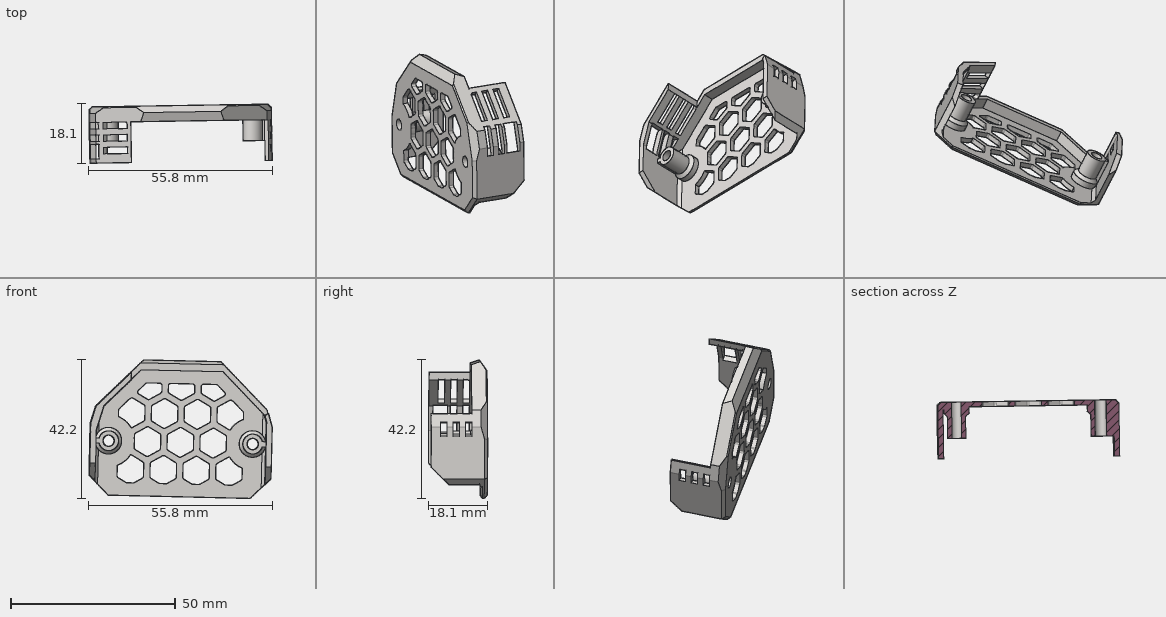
import cadquery as cq
import math


TILT_ABOUT_Y = 1.33
TURN_ABOUT_Z = 0.9

WIDTH = 55.25
HALF_WIDTH = WIDTH / 2
TOP_Z = 20.9
BOTTOM_Z = -20.55
BOTTOM_CORNER = 6.05
FACET_LOW_Z = 1.3
FACET_HIGH_Z = 6.55
FACET_HIGH_X = 26.1

PLATE_DEPTH = 1.55
RIM_DEPTH = 4.8
WALL_DEPTH = 17.2

SIDE_WALL = 1.75
SLANT_WALL = 1.7
TOP_WALL = 3.05
LEFT_FACET_WALL = 2.3
RIGHT_FACET_WALL = 1.25

SIDE_CHAMFER = 1.0
FACET_CHAMFER = 2.0
SLANT_CHAMFER = 0.4
TOP_CHAMFER_HEIGHT = 2.8
TOP_CHAMFER_DEPTH = 2.0
TOP_DRAFT = 0.95
INNER_CHAMFER = 1.0

LEFT_WALL_END_X = -15.6
RIGHT_WALL_END = 4.3
RIGHT_WALL_END_ANGLE = 30.0
WALL_TIP_Z = -10.9

HEX_PITCH = 10.0
HEX_FLATS = 8.0
HEX_ROUND = 0.65
HEX_MARGIN = 3.95
BOSS_CLEARANCE = 8.0

BOSS_SPACING = 43.85
BOSS_X = BOSS_SPACING / 2
BOSS_Z = -3.95
BOSS_BASE_D = 8.1
BOSS_D = 6.05
BOSS_HOLE_D = 3.4
BOSS_BASE_DEPTH = 3.45
BOSS_DEPTH = 11.1
WEB_WIDTH = 1.55

SLOT_WIDTH = 1.95
SLOT_PITCH = 3.8
FIRST_SLOT_DEPTH = RIM_DEPTH
WIDE_SLOT_DEPTH = 11.45
WIDE_SLOT_WIDTH = 4.4
SLANT_SLOT_START = 3.1
SLANT_SLOT_LENGTH = 10.05
SLOT_ROUND = 0.85
FACET_SLOT_START = -2.55
LEFT_FACET_SLOT_LENGTH = 9.0
RIGHT_FACET_SLOT_LENGTH = 4.25

SLOT_REACH = 4.45
CLEAR = 16.75
OVERCUT = 0.55

SLANT_SUM = FACET_HIGH_X + FACET_HIGH_Z
INNER_SLANT_SUM = SLANT_SUM - SLANT_WALL * math.sqrt(2)

INNER_X = HALF_WIDTH - SIDE_WALL
INNER_TOP_Z = TOP_Z - TOP_WALL

FACET_RUN = HALF_WIDTH - FACET_HIGH_X
FACET_ANGLE = math.atan2(FACET_RUN, FACET_HIGH_Z - FACET_LOW_Z)
FACET_SLOPE = math.tan(FACET_ANGLE)


def prism(points, start, end):
    """Outline in x and z, filled between two depths."""
    return cq.Workplane("XZ").workplane(offset=start).polyline(points).close().extrude(end - start)


def cylinder(x, z, diameter, start, end):
    return cq.Workplane("XZ", origin=(x, -start, z)).circle(diameter / 2).extrude(end - start)


right_side = [
    (HALF_WIDTH - BOTTOM_CORNER, BOTTOM_Z),
    (HALF_WIDTH, BOTTOM_Z + BOTTOM_CORNER),
    (HALF_WIDTH, FACET_LOW_Z),
    (FACET_HIGH_X, FACET_HIGH_Z),
    (SLANT_SUM - TOP_Z, TOP_Z),
]
outline = right_side + [(-x, z) for x, z in reversed(right_side)]


def edge_cutter(start, end, width, depth):
    """Wedge that bevels the back edge lying over one side of the outline."""
    length = math.dist(start, end)
    along_x = (end[0] - start[0]) / length
    along_z = (end[1] - start[1]) / length
    plane = cq.Plane(
        origin=(start[0] - CLEAR * along_x, 0, start[1] - CLEAR * along_z),
        xDir=(along_z, 0, -along_x),
        normal=(along_x, 0, along_z),
    )
    extra = OVERCUT * depth / width
    profile = [(-width - OVERCUT, extra), (OVERCUT, extra), (OVERCUT, -depth - extra)]
    return cq.Workplane(plane).polyline(profile).close().extrude(length + 2 * CLEAR)


def bevelled_block():
    """Solid block inside the outer outline, with its back edges bevelled and its top drafted."""
    block = prism(outline, 0, WALL_DEPTH)
    side_bevels = [SIDE_CHAMFER, SIDE_CHAMFER, FACET_CHAMFER, SLANT_CHAMFER]
    for i, size in enumerate(side_bevels):
        block = block.cut(edge_cutter(outline[i], outline[i + 1], size, size))
        block = block.cut(edge_cutter(outline[-2 - i], outline[-1 - i], size, size))
    top_right = len(right_side) - 1
    top_edge = outline[top_right : top_right + 2]
    block = block.cut(edge_cutter(*top_edge, TOP_CHAMFER_HEIGHT, TOP_CHAMFER_DEPTH))
    block = block.cut(edge_cutter(outline[-1], outline[0], SIDE_CHAMFER, SIDE_CHAMFER))

    draft = [
        (-TOP_CHAMFER_DEPTH, TOP_Z),
        (-RIM_DEPTH, TOP_Z - TOP_DRAFT),
        (-RIM_DEPTH, TOP_Z + OVERCUT),
        (-TOP_CHAMFER_DEPTH, TOP_Z + OVERCUT),
    ]
    return block.cut(cq.Workplane("YZ").polyline(draft).close().extrude(HALF_WIDTH, both=True))


def inner_side(facet_wall):
    """Inside corners of one wall, from the bottom up, as positive x and z."""
    facet_x = HALF_WIDTH - facet_wall / math.cos(FACET_ANGLE)
    low_z = FACET_LOW_Z + (facet_x - INNER_X) / FACET_SLOPE
    high_z = (INNER_SLANT_SUM - facet_x - FACET_SLOPE * FACET_LOW_Z) / (1 - FACET_SLOPE)
    return [
        (INNER_X, BOTTOM_Z),
        (INNER_X, low_z),
        (INNER_SLANT_SUM - high_z, high_z),
        (INNER_SLANT_SUM - INNER_TOP_Z, INNER_TOP_Z),
    ]


def pocket():
    """Space in front of the plate, with the plate-to-wall corners left bevelled."""
    left = [(-x, z) for x, z in reversed(inner_side(LEFT_FACET_WALL))]
    space = prism(inner_side(RIGHT_FACET_WALL) + left, PLATE_DEPTH, WALL_DEPTH)

    left_rim_corner = [
        (-INNER_X, BOTTOM_Z),
        (-INNER_X, INNER_SLANT_SUM - INNER_X),
        (INNER_TOP_Z - INNER_SLANT_SUM, INNER_TOP_Z),
    ]
    space = space.union(prism(left_rim_corner, PLATE_DEPTH, RIM_DEPTH))

    for side in (-1, 1):
        corner = [
            (side * INNER_X, -PLATE_DEPTH),
            (side * (INNER_X - INNER_CHAMFER), -PLATE_DEPTH),
            (side * INNER_X, -PLATE_DEPTH - INNER_CHAMFER),
        ]
        bevel = cq.Workplane("XY", origin=(0, 0, BOTTOM_Z)).polyline(corner).close()
        space = space.cut(bevel.extrude(TOP_Z - BOTTOM_Z))
    return space


def rim_clearance():
    """Space in front of the rim, between the upper ends of the two side walls."""
    end_x = HALF_WIDTH - RIGHT_WALL_END * math.sin(FACET_ANGLE)
    end_z = FACET_LOW_Z + RIGHT_WALL_END * math.cos(FACET_ANGLE)
    reach_x = CLEAR * math.cos(math.radians(RIGHT_WALL_END_ANGLE))
    reach_z = CLEAR * math.sin(math.radians(RIGHT_WALL_END_ANGLE))
    region = [
        (LEFT_WALL_END_X, end_z - reach_z),
        (end_x - reach_x, end_z - reach_z),
        (end_x + reach_x, end_z + reach_z),
        (end_x + reach_x, TOP_Z + CLEAR),
        (LEFT_WALL_END_X, TOP_Z + CLEAR),
    ]
    return prism(region, RIM_DEPTH, WALL_DEPTH)


def wall_tip_cut():
    """45 degree cut across the lower front corners of both side walls."""
    drop = WALL_TIP_Z - BOTTOM_Z
    corner = [(-WALL_DEPTH, WALL_TIP_Z), (-WALL_DEPTH, BOTTOM_Z), (drop - WALL_DEPTH, BOTTOM_Z)]
    return cq.Workplane("YZ").polyline(corner).close().extrude(HALF_WIDTH, both=True)


def honeycomb():
    """Rounded hexagons, trimmed to stay inside a margin and clear of the bosses."""
    margin_sum = INNER_SLANT_SUM - HEX_MARGIN * math.sqrt(2)
    top = INNER_TOP_Z - HEX_MARGIN
    bottom = BOTTOM_Z + HEX_MARGIN
    half_trim = [(HALF_WIDTH, bottom), (HALF_WIDTH, margin_sum - HALF_WIDTH), (margin_sum - top, top)]
    trim = prism(half_trim + [(-x, z) for x, z in reversed(half_trim)], 0, PLATE_DEPTH)

    row_pitch = HEX_PITCH * math.sqrt(3) / 2
    corner_radius = HEX_FLATS / math.sqrt(3)
    hexagon = [
        (corner_radius * math.sin(math.radians(60 * i)), corner_radius * math.cos(math.radians(60 * i)))
        for i in range(6)
    ]
    cells = None
    for row, count in ((-1, 4), (0, 3), (1, 4), (2, 3)):
        z = BOSS_Z + row * row_pitch
        for i in range(count):
            x = (i - (count - 1) / 2) * HEX_PITCH
            cell = prism([(x + dx, z + dz) for dx, dz in hexagon], 0, PLATE_DEPTH)
            cell = cell.intersect(trim).edges("|Y").fillet(HEX_ROUND)
            cells = cell if cells is None else cells.add(cell)
    cells = cells.combine()
    for side in (-1, 1):
        cells = cells.cut(cylinder(side * BOSS_X, BOSS_Z, 2 * BOSS_CLEARANCE, 0, PLATE_DEPTH))
    return cells


def boss(side):
    """Screw boss with a coned base, tied to its side wall by a web."""
    x = side * BOSS_X
    root = PLATE_DEPTH / 2
    cone_height = (BOSS_BASE_D - BOSS_D) / 2
    cone = cq.Solid.makeCone(
        BOSS_BASE_D / 2,
        BOSS_D / 2,
        cone_height,
        pnt=cq.Vector(x, -BOSS_BASE_DEPTH, BOSS_Z),
        dir=cq.Vector(0, -1, 0),
    )
    web_end = side * (INNER_X + SIDE_WALL / 2)
    low_z = BOSS_Z - WEB_WIDTH / 2
    high_z = BOSS_Z + WEB_WIDTH / 2
    web = prism([(x, low_z), (web_end, low_z), (web_end, high_z), (x, high_z)], root, BOSS_DEPTH)
    base = cylinder(x, BOSS_Z, BOSS_BASE_D, root, BOSS_BASE_DEPTH)
    post = cylinder(x, BOSS_Z, BOSS_D, root, BOSS_DEPTH)
    return base.union(post).union(cq.Workplane(cone)).union(web)


def slot(corner, direction, start, length, depth, width=SLOT_WIDTH, corner_round=0):
    """Slot cut square through a wall whose outer line starts at `corner` and runs in `direction`.

    A `corner_round` rounds the corner at the far end on the side of the back face.
    """
    plane = cq.Plane(
        origin=(corner[0], 0, corner[1]),
        xDir=(direction[0], 0, direction[1]),
        normal=(direction[1], 0, -direction[0]),
    )
    middle = (start + length / 2, depth + width / 2)
    cut = cq.Workplane(plane).center(*middle).rect(length, width).extrude(SLOT_REACH, both=True)
    if corner_round:
        rear_end = plane.toWorldCoords((start + length, depth, 0)).toTuple()
        cut = cut.edges(cq.selectors.NearestToPointSelector(rear_end)).fillet(corner_round)
    return cut


def vents():
    """Three slots in the left slant and three in each facet; the left facet's front one is wide."""
    sine = math.sin(FACET_ANGLE)
    cosine = math.cos(FACET_ANGLE)
    slant_corner = (-FACET_HIGH_X, FACET_HIGH_Z)
    slant_up = (math.sqrt(0.5), math.sqrt(0.5))
    left_slant = (slant_corner, slant_up, SLANT_SLOT_START, SLANT_SLOT_LENGTH)
    left_facet = ((-HALF_WIDTH, FACET_LOW_Z), (sine, cosine), FACET_SLOT_START, LEFT_FACET_SLOT_LENGTH)
    right_facet = ((HALF_WIDTH, FACET_LOW_Z), (-sine, cosine), FACET_SLOT_START, RIGHT_FACET_SLOT_LENGTH)

    first, second, third = [FIRST_SLOT_DEPTH + i * SLOT_PITCH for i in range(3)]
    cuts = [
        slot(*left_slant, first, corner_round=SLOT_ROUND),
        slot(*left_slant, second),
        slot(*left_slant, third),
        slot(*left_facet, first),
        slot(*left_facet, second),
        slot(*left_facet, WIDE_SLOT_DEPTH, WIDE_SLOT_WIDTH),
    ]
    for depth in (first, second, third):
        cuts.append(slot(*right_facet, depth))
    return cuts


cover = bevelled_block().cut(pocket()).cut(rim_clearance()).cut(wall_tip_cut()).cut(honeycomb())
for cut in vents():
    cover = cover.cut(cut)
for side in (-1, 1):
    cover = cover.union(boss(side))
    cover = cover.cut(cylinder(side * BOSS_X, BOSS_Z, BOSS_HOLE_D, 0, BOSS_DEPTH))

result = cover.rotate((0, 0, 0), (0, 1, 0), TILT_ABOUT_Y).rotate((0, 0, 0), (0, 0, 1), TURN_ABOUT_Z)